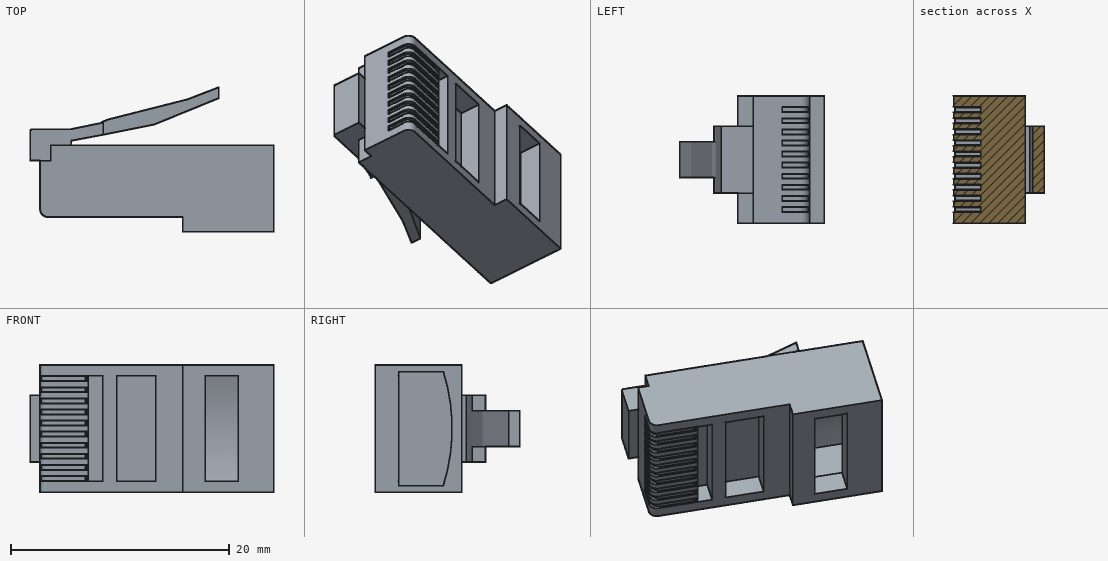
import cadquery as cq


housing_nose_x = 0.90
housing_end_x = 22.33
housing_back_y = 7.95
housing_height = 11.68
step_x = 13.96
step_depth = 1.35
nose_fillet = 0.75
notch_x = 1.90
notch_y = 6.53

contact_count = 10
contact_pitch = 1.016
slot_width = 0.49
slot_end_x = 5.19
slot_top_y = 3.84
blade_width = 0.40
blade_gap = 0.13
blade_fillet = 0.92

window_height = (contact_count - 1) * contact_pitch + slot_width
window_depth = 2.0
narrow_window_x = (5.32, 6.67)
wide_window_x = (7.95, 11.51)

cable_window_x = (16.03, 19.06)
cable_front_y = 2.16
cable_side_y = 6.25
cable_crown_rise = 0.80
cable_half_height = 5.22

latch_root_end_x = 3.79
latch_root_top_y = 9.43
latch_root_fillet = 0.20
latch_root_width = 6.14
latch_tip_width = 3.30
latch_narrowing_x = 6.72
arm_heel_y = 8.35
arm_narrowing_y = (8.90, 10.13)
arm_rise_start = (6.45, 9.98)
arm_rise_end = (7.10, 10.30)
arm_top_bend = (14.40, 12.15)
arm_bottom_bend = (11.37, 9.83)
arm_tip_x = 17.29
arm_tip_y = (12.25, 13.26)


def block(x_range, y_range, height):
    """Axis-aligned box given by its X and Y limits, centred on the mid-plane."""
    length = x_range[1] - x_range[0]
    depth = y_range[1] - y_range[0]
    box = cq.Workplane("XY").box(length, depth, height, centered=(False, False, True))
    return box.translate((x_range[0], y_range[0], 0))


def prism(points, height):
    """XY outline extruded symmetrically about the mid-plane."""
    return cq.Workplane("XY").polyline(points).close().extrude(height / 2, both=True)


def make_housing():
    outline = [
        (housing_nose_x, step_depth),
        (step_x, step_depth),
        (step_x, 0),
        (housing_end_x, 0),
        (housing_end_x, housing_back_y),
        (notch_x, housing_back_y),
        (notch_x, notch_y),
        (housing_nose_x, notch_y),
    ]
    nose_corner = cq.selectors.NearestToPointSelector((housing_nose_x, step_depth, 0))
    return prism(outline, housing_height).edges(nose_corner).fillet(nose_fillet)


def cut_windows(body):
    floor_y = step_depth + window_depth
    for x_range in (narrow_window_x, wide_window_x):
        body = body.cut(block(x_range, (step_depth, floor_y), window_height))
    return body.cut(block(cable_window_x, (0, cable_front_y), window_height))


def cut_cable_entry(body):
    """Cavity open at the rear end, with an arched far wall."""
    crown_y = cable_side_y + cable_crown_rise
    cavity = (
        cq.Workplane("YZ", origin=(cable_window_x[0], 0, 0))
        .moveTo(cable_front_y, -cable_half_height)
        .lineTo(cable_side_y, -cable_half_height)
        .threePointArc((crown_y, 0), (cable_side_y, cable_half_height))
        .lineTo(cable_front_y, cable_half_height)
        .close()
        .extrude(housing_end_x - cable_window_x[0])
    )
    return body.cut(cavity)


def make_blade():
    """Contact blade, set back from the housing faces and rounded at the nose corner."""
    x_range = (housing_nose_x + blade_gap, slot_end_x - blade_gap)
    y_range = (step_depth + blade_gap, slot_top_y)
    return block(x_range, y_range, blade_width).edges("|Z").edges("<X").edges("<Y").fillet(blade_fillet)


def add_contacts(body):
    slot = block((housing_nose_x, slot_end_x), (step_depth, slot_top_y), slot_width)
    blade = make_blade()
    for index in range(contact_count):
        z_center = (index - (contact_count - 1) / 2) * contact_pitch
        offset = (0, 0, z_center)
        body = body.cut(slot.translate(offset)).union(blade.translate(offset))
    return body


def make_latch():
    narrowing_bottom = (latch_narrowing_x, arm_narrowing_y[0])
    narrowing_top = (latch_narrowing_x, arm_narrowing_y[1])
    root_outline = [
        (0, notch_y),
        (notch_x, notch_y),
        (notch_x, housing_back_y),
        (latch_root_end_x, housing_back_y),
        (latch_root_end_x, arm_heel_y),
        narrowing_bottom,
        narrowing_top,
        arm_rise_start,
        (latch_root_end_x, latch_root_top_y),
        (0, latch_root_top_y),
    ]
    arm_outline = [
        narrowing_bottom,
        arm_bottom_bend,
        (arm_tip_x, arm_tip_y[0]),
        (arm_tip_x, arm_tip_y[1]),
        arm_top_bend,
        arm_rise_end,
        narrowing_top,
    ]
    top_corner = cq.selectors.NearestToPointSelector((0, latch_root_top_y, 0))
    root = prism(root_outline, latch_root_width).edges(top_corner).fillet(latch_root_fillet)
    return root.union(prism(arm_outline, latch_tip_width))


housing = make_housing()
housing = cut_windows(housing)
housing = cut_cable_entry(housing)
housing = add_contacts(housing)
result = housing.union(make_latch())